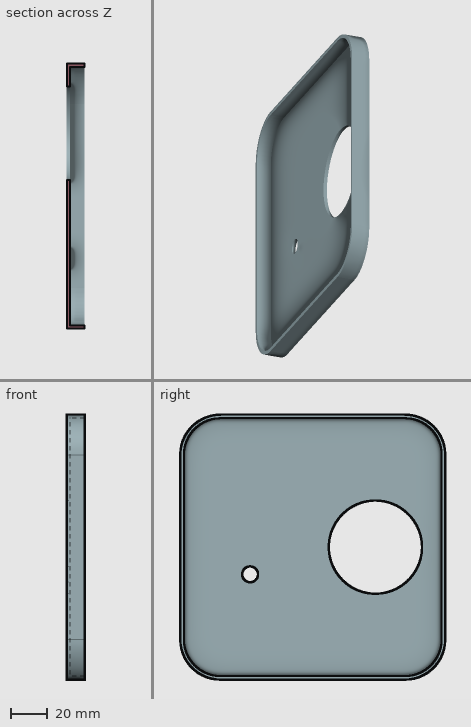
import cadquery as cq

side = 144.0
depth = 10.0
corner_radius = 22.0
wall = 2.0

hole_offset = 34.0
large_hole_diameter = 50.5
small_hole_diameter = 8.5
small_hole_z = -14.75


def rounded_block(width, radius, x_start, x_end):
    """Square block with rounded corners, centred on the X axis."""
    block = cq.Workplane("YZ").workplane(offset=x_start).rect(width, width).extrude(x_end - x_start)
    return block.edges("|X").fillet(radius)


def round_cutter(diameter, y, z):
    """Cylinder along X that passes through the whole depth."""
    return cq.Workplane("YZ").center(y, z).circle(diameter / 2).extrude(depth)


cover = rounded_block(side, corner_radius, 0, depth)
cavity = rounded_block(side - 2 * wall, corner_radius - wall, wall, depth)
large_hole = round_cutter(large_hole_diameter, hole_offset, 0)
small_hole = round_cutter(small_hole_diameter, -hole_offset, small_hole_z)

result = cover.cut(cavity).cut(large_hole).cut(small_hole)